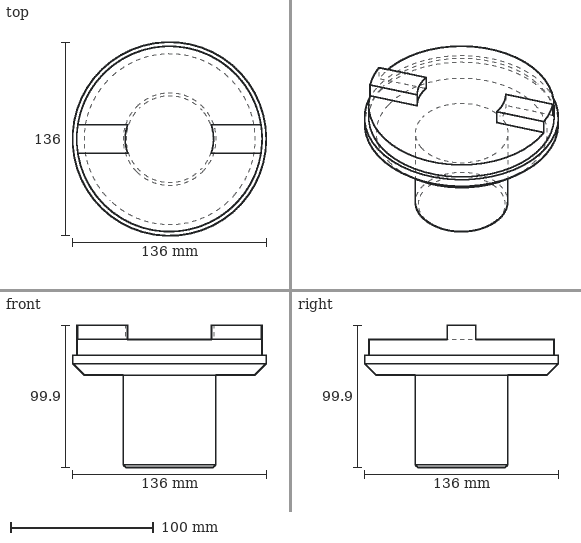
import cadquery as cq

shank_diameter = 65.0
shank_length = 65.0
shank_chamfer = 2.0
flange_diameter = 136
flange_chamfer = 8.0
rim_height = 6.0
disc_diameter = 130.0
disc_height = 11.0
lug_height = 9.9
lug_width = 20.0
lug_bore_diameter = 62.0

flange_height = flange_chamfer + rim_height
disc_base = shank_length + flange_height
disc_top = disc_base + disc_height


def cylinder(diameter, height, base):
    return cq.Workplane("XY").workplane(offset=base).circle(diameter / 2).extrude(height)


def make_lugs():
    """Two opposite lugs, curved to the disc outside and to the bore inside."""
    bar = (
        cq.Workplane("XY")
        .workplane(offset=disc_top)
        .rect(flange_diameter, lug_width)
        .extrude(lug_height)
    )
    outer = cylinder(disc_diameter, lug_height, disc_top)
    bore = cylinder(lug_bore_diameter, lug_height, disc_top)
    return bar.intersect(outer).cut(bore)


shank = cylinder(shank_diameter, shank_length, 0).faces("<Z").chamfer(shank_chamfer)
flange = cylinder(flange_diameter, flange_height, shank_length).faces("<Z").chamfer(flange_chamfer)
disc = cylinder(disc_diameter, disc_height, disc_base)

result = shank.union(flange).union(disc).union(make_lugs())